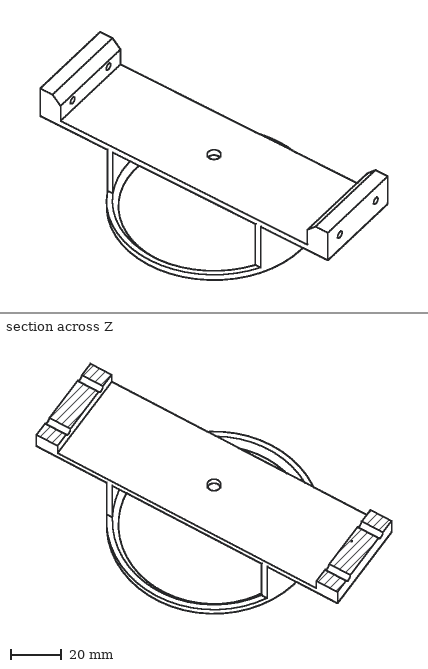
import cadquery as cq

length = 140.0
width = 40.0
height = 40.0
plate_bottom = 25.0
plate_thickness = 3.0
plate_top = plate_bottom + plate_thickness
block_length = 10.0
chamfer_size = 3.9
center_hole_diameter = 5.5

screw_hole_diameter = 3.0
screw_hole_spacing = 24.0
screw_hole_height = 32.9

ring_outer_diameter = 84.5
wall_inner_diameter = 80.0
ring_inner_diameter = 75.0
ring_thickness = 3.0


def make_tray():
    """Plate and end blocks, with the inner top edges of the blocks chamfered."""
    half = length / 2
    inner = half - block_length
    profile = [
        (-half, plate_bottom),
        (half, plate_bottom),
        (half, height),
        (inner + chamfer_size, height),
        (inner, height - chamfer_size),
        (inner, plate_top),
        (-inner, plate_top),
        (-inner, height - chamfer_size),
        (-inner - chamfer_size, height),
        (-half, height),
    ]
    return cq.Workplane("XZ").polyline(profile).close().extrude(width / 2, both=True)


def make_ring():
    """Ring whose bore tapers from the wall's inner diameter down to a smaller bottom opening."""
    section = [
        (ring_inner_diameter / 2, 0),
        (ring_outer_diameter / 2, 0),
        (ring_outer_diameter / 2, ring_thickness),
        (wall_inner_diameter / 2, ring_thickness),
    ]
    return cq.Workplane("XZ").polyline(section).close().revolve(360, (0, 0), (0, 1))


def make_walls():
    """Two arcs of a tube, cut to the width of the plate."""
    tube = (
        cq.Workplane("XY")
        .circle(ring_outer_diameter / 2)
        .circle(wall_inner_diameter / 2)
        .extrude(plate_bottom)
    )
    band = cq.Workplane("XY").box(length, width, plate_bottom, centered=(True, True, False))
    return tube.intersect(band)


def make_center_hole():
    return (
        cq.Workplane("XY", origin=(0, 0, plate_bottom))
        .circle(center_hole_diameter / 2)
        .extrude(plate_thickness)
    )


def make_screw_holes():
    """Two holes along X that pass through both end blocks."""
    return (
        cq.Workplane("YZ", origin=(0, 0, screw_hole_height))
        .pushPoints([(-screw_hole_spacing / 2, 0), (screw_hole_spacing / 2, 0)])
        .circle(screw_hole_diameter / 2)
        .extrude(length / 2, both=True)
    )


body = make_tray().union(make_ring()).union(make_walls())
result = body.cut(make_center_hole()).cut(make_screw_holes())